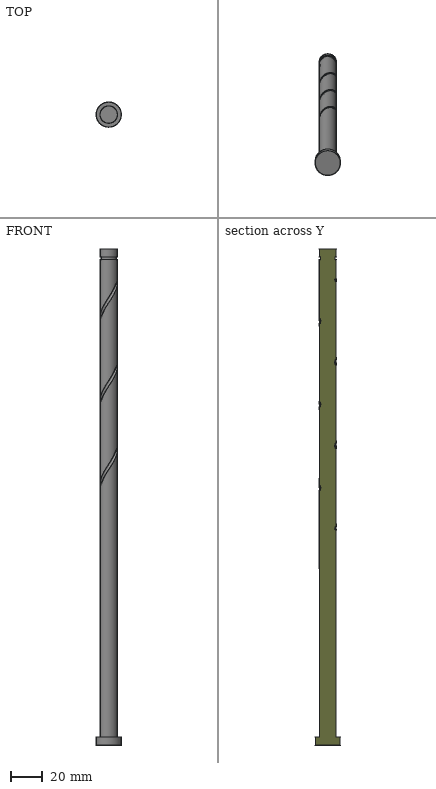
import cadquery as cq

total_length = 315.0
shaft_radius = 11.0 / 2
head_radius = 16.0 / 2
head_height = 5.5

tip_height = 5.0
neck_width = 2.0
neck_radius = shaft_radius - 0.5

groove_pitch = 53.0
groove_turns = 3
groove_section_radius = 1.0
groove_top = 295.8
groove_length = groove_pitch * groove_turns
groove_bottom = groove_top - groove_length


def make_pin():
    shaft = cq.Workplane("XY").circle(shaft_radius).extrude(total_length)
    head = cq.Workplane("XY").circle(head_radius).extrude(head_height)
    return shaft.union(head)


def make_neck_cutter():
    neck_bottom = total_length - tip_height - neck_width
    return (
        cq.Workplane("XY", origin=(0, 0, neck_bottom))
        .circle(head_radius)
        .circle(neck_radius)
        .extrude(neck_width)
    )


def make_helix_cutter():
    path = cq.Wire.makeHelix(groove_pitch, groove_length, shaft_radius)
    section_plane = cq.Plane((shaft_radius, 0, 0), (1, 0, 0), path.tangentAt(0))
    cutter = (
        cq.Workplane(section_plane)
        .circle(groove_section_radius)
        .sweep(cq.Workplane(path), isFrenet=True)
    )
    return cutter.translate((0, 0, groove_bottom))


result = make_pin().cut(make_neck_cutter()).cut(make_helix_cutter())